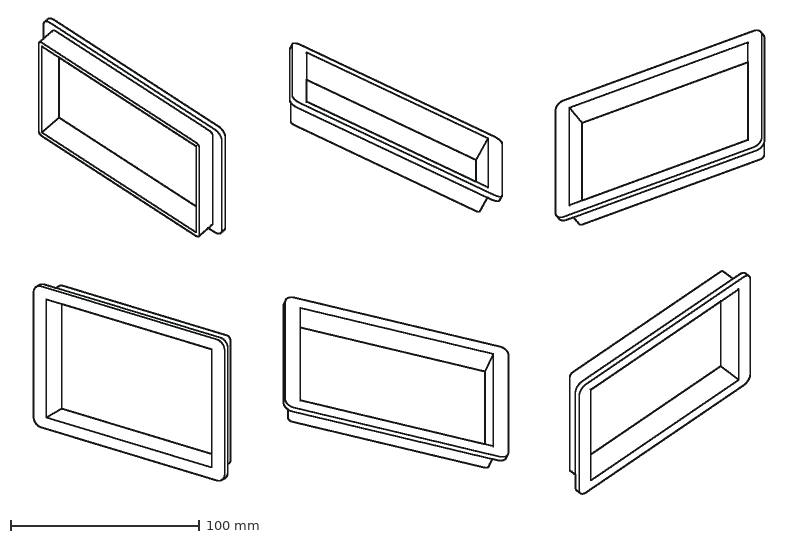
import cadquery as cq

flange_width = 125.2
flange_height = 82.5
flange_thickness = 3.0
flange_corner_radius = 5.0

total_depth = 14.0
collar_width = 112.8
collar_height = 75.0
collar_corner_radius = 2.5

window_width = 108.2
window_height = 69.0


def rounded_block(width, height, depth, corner_radius):
    """Block centred on the Y axis, running from Y = 0 to Y = -depth."""
    block = cq.Workplane("XZ").rect(width, height).extrude(depth)
    return block.edges("|Y").fillet(corner_radius)


flange = rounded_block(flange_width, flange_height, flange_thickness, flange_corner_radius)
collar = rounded_block(collar_width, collar_height, total_depth, collar_corner_radius)
window = cq.Workplane("XZ").rect(window_width, window_height).extrude(total_depth)

result = flange.union(collar).cut(window)